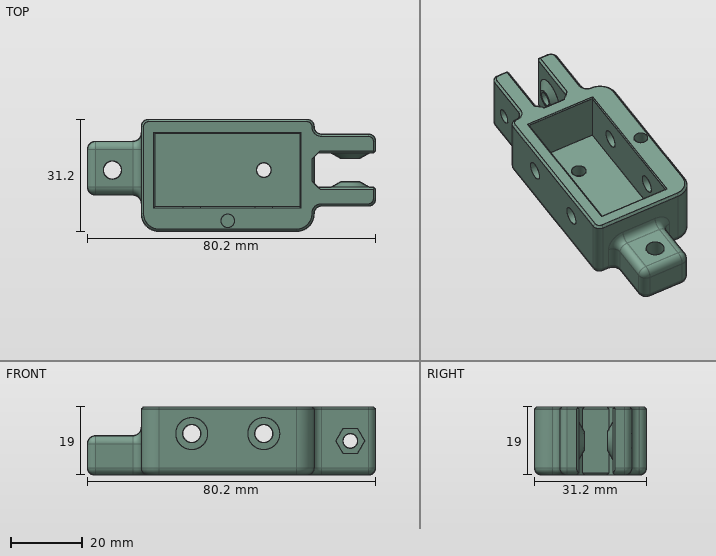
import cadquery as cq

length = 80.2
height = 19.0
body_start = 15.0
body_end = 63.1
body_front = -17.1
body_back = 14.1
body_middle = (body_start + body_end) / 2

large_corner = 5.0
edge_radius = 2.0
bottom_radius = 2.0
top_chamfer = 0.65
chamfer_angle = 45

tab_front = -7.0
tab_back = 8.0
tab_height = 11.0
tab_radius = 2.3
tab_hole_x = 7.0
tab_hole_diameter = 5.0

fork_outer = 10.0
fork_inner = 4.7
gusset_leg = 1.05
pivot_x = 73.15
pivot_z = height / 2
pivot_diameter = 4.0
nut_across_flats = 7.0
nut_depth = 3.0
nut_rotation = 30
boss_base_diameter = 10.6
boss_tip_diameter = 5.2
boss_height = 1.5

pocket_start = 18.45
pocket_end = 59.4
pocket_half_width = 10.5
pocket_rim_chamfer = 0.3
floor_thickness = 4.0

screw_spacing = 20.05
screw_z = 11.55
screw_diameter = 5.0
screw_head_diameter = 8.9
screw_head_depth = 3.0
floor_hole_diameter = 4.0
rim_hole_y = -14.1
rim_hole_diameter = 3.8
rim_hole_depth = 10.0

selection_margin = 0.1


def box(x_start, x_end, y_start, y_end, z_start, z_end):
    return (
        cq.Workplane("XY", origin=(x_start, y_start, z_start))
        .box(x_end - x_start, y_end - y_start, z_end - z_start, centered=False)
    )


def cylinder_along_y(x, z, diameter, y_start, y_end):
    return (
        cq.Workplane("XZ", origin=(x, y_start, z))
        .circle(diameter / 2)
        .extrude(y_start - y_end)
    )


def cylinder_along_z(x, y, diameter, z_start, z_end):
    return (
        cq.Workplane("XY", origin=(x, y, z_start))
        .circle(diameter / 2)
        .extrude(z_end - z_start)
    )


def edges_within(x_start, x_end, y_start, y_end, top):
    return cq.selectors.BoxSelector(
        (x_start - selection_margin, y_start - selection_margin, -selection_margin),
        (x_end + selection_margin, y_end + selection_margin, top + selection_margin),
    )


def vertical_edge(x, y):
    return edges_within(x, x, y, y, height)


def body_with_tab():
    shape = box(body_start, body_end, body_front, body_back, 0, height)
    shape = shape.union(box(body_middle, length, -fork_outer, fork_outer, 0, height))
    for x in (body_start, body_end):
        shape = shape.edges(vertical_edge(x, body_front)).fillet(large_corner)
        shape = shape.edges(vertical_edge(x, body_back)).fillet(edge_radius)
    for x in (body_end, length):
        for y in (-fork_outer, fork_outer):
            shape = shape.edges(vertical_edge(x, y)).fillet(edge_radius)
    shape = shape.faces(">Z").chamfer(top_chamfer)

    tab = box(0, body_middle, tab_front, tab_back, 0, tab_height)
    tab = tab.edges("(|X and >Z) or (<X and (not <Z))").fillet(tab_radius)
    shape = shape.union(tab)
    root = edges_within(body_start, body_start, tab_front, tab_back, tab_height)
    shape = shape.edges(root).edges("not <Z").fillet(tab_radius)
    return shape.faces("<Z").edges().fillet(bottom_radius)


def fork_slot():
    slot = box(body_end, length, -fork_inner, fork_inner, 0, height)
    flare_width = 2 * (fork_inner + top_chamfer)
    flare_start = body_end - top_chamfer
    rim_length = 2 * (length - flare_start)
    for z, direction in ((height, -1), (0, 1)):
        slot = slot.union(
            cq.Workplane("XY", origin=(length, 0, z))
            .rect(rim_length, flare_width)
            .extrude(direction * top_chamfer, taper=chamfer_angle)
        )
    mouth = (
        cq.Workplane("YZ", origin=(length, 0, height / 2))
        .rect(flare_width, height + 2 * top_chamfer)
        .extrude(-top_chamfer, taper=chamfer_angle)
    )
    return slot.union(mouth)


def slot_corner_gussets():
    corner_x = body_end - top_chamfer
    corner_y = fork_inner + top_chamfer
    leg = gusset_leg + 2 * top_chamfer
    wedge = (
        cq.Workplane("XY")
        .polyline([(corner_x, corner_y), (corner_x + leg, corner_y), (corner_x, corner_y - leg)])
        .close()
        .extrude(height)
    )
    return wedge.union(wedge.mirror("XZ"))


def pivot_bosses():
    boss = (
        cq.Workplane("XZ", origin=(pivot_x, fork_inner, pivot_z))
        .circle(boss_base_diameter / 2)
        .workplane(offset=boss_height)
        .circle(boss_tip_diameter / 2)
        .loft()
    )
    return boss.union(boss.mirror("XZ"))


def pocket():
    rim = (
        cq.Workplane("XY", origin=((pocket_start + pocket_end) / 2, 0, height))
        .rect(pocket_end - pocket_start, 2 * pocket_half_width)
        .extrude(-pocket_rim_chamfer, taper=chamfer_angle)
    )
    return rim.union(
        box(
            pocket_start + pocket_rim_chamfer,
            pocket_end - pocket_rim_chamfer,
            pocket_rim_chamfer - pocket_half_width,
            pocket_half_width - pocket_rim_chamfer,
            floor_thickness,
            height,
        )
    )


def side_screw_holes():
    holes = cq.Workplane("XY")
    for x in (body_middle - screw_spacing / 2, body_middle + screw_spacing / 2):
        holes = holes.add(cylinder_along_y(x, screw_z, screw_diameter, body_front, body_back))
        holes = holes.add(
            cylinder_along_y(x, screw_z, screw_head_diameter, body_front, body_front + screw_head_depth)
        )
    return holes.combine()


def pivot_hole_and_nut():
    hole = cylinder_along_y(pivot_x, pivot_z, pivot_diameter, -fork_outer, fork_outer)
    nut = (
        cq.Workplane("XZ", origin=(pivot_x, -fork_outer, pivot_z))
        .transformed(rotate=(0, 0, nut_rotation))
        .polygon(6, nut_across_flats, circumscribed=True)
        .extrude(-nut_depth)
    )
    return hole.union(nut)


def vertical_holes():
    tab_hole = cylinder_along_z(tab_hole_x, 0, tab_hole_diameter, 0, tab_height)
    floor_hole = cylinder_along_z(
        body_middle + screw_spacing / 2, 0, floor_hole_diameter, 0, floor_thickness
    )
    rim_hole = cylinder_along_z(
        body_middle, rim_hole_y, rim_hole_diameter, height - rim_hole_depth, height
    )
    return tab_hole.add(floor_hole).add(rim_hole).combine()


result = (
    body_with_tab()
    .cut(fork_slot())
    .union(slot_corner_gussets())
    .union(pivot_bosses())
    .cut(pocket())
    .cut(side_screw_holes())
    .cut(pivot_hole_and_nut())
    .cut(vertical_holes())
    .solids()
)